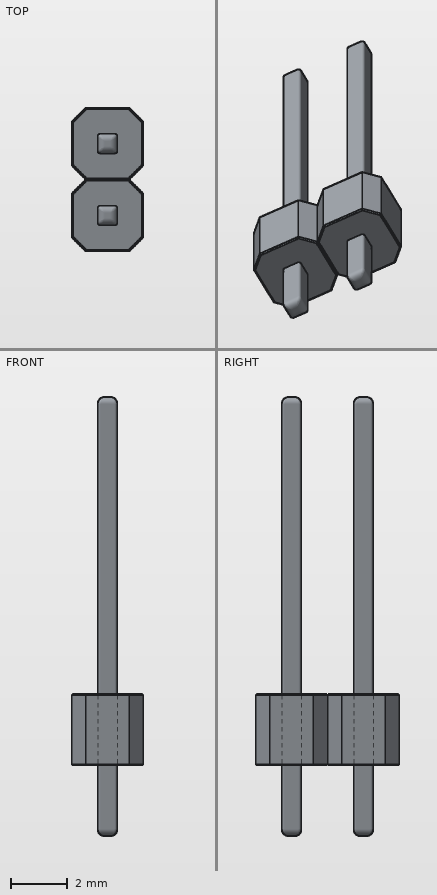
import cadquery as cq

total_length = 15.54
lower_length = 2.5
pin_count = 2
row_length = 5.08
pitch = row_length / pin_count

housing_width = 2.53
housing_height = 2.53
housing_corner = 0.5
housing_rim = 0.05

pin_side = 0.7
pin_corner = 0.1
tip_radius = 0.25


def make_pin(y):
    """Square pin with rounded long edges and ends, passing down through Z = 0."""
    return (
        cq.Workplane("XY", origin=(0, y, -lower_length))
        .rect(pin_side, pin_side)
        .extrude(total_length)
        .faces("<Z or >Z")
        .edges()
        .fillet(tip_radius)
        .edges("|Z")
        .fillet(pin_corner)
    )


def make_housing(y, pin):
    """Octagonal housing block with a hole that matches its pin."""
    block = (
        cq.Workplane("XY", origin=(0, y, 0))
        .rect(housing_width, pitch)
        .extrude(housing_height)
        .edges("|Z")
        .chamfer(housing_corner)
        .faces("<Z or >Z")
        .edges()
        .chamfer(housing_rim)
    )
    return block.cut(pin)


pin_places = [(index - (pin_count - 1) / 2) * pitch for index in range(pin_count)]
bodies = []
for place in pin_places:
    pin = make_pin(place)
    housing = make_housing(place, pin)
    bodies.extend([pin.val(), housing.val()])

result = cq.Compound.makeCompound(bodies)